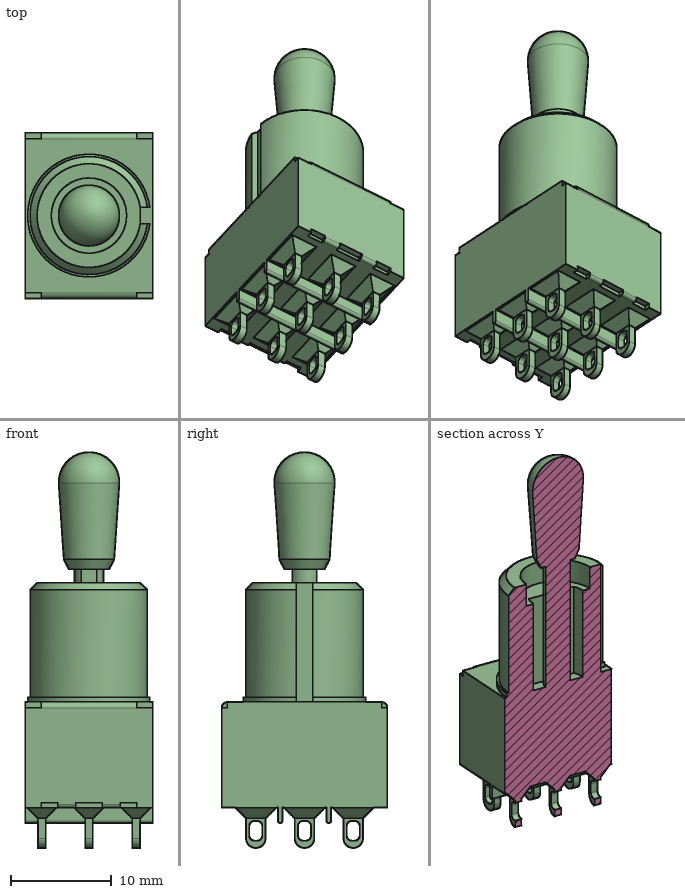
import cadquery as cq
import math


housing_x = 12.7
housing_y = 16.5
housing_bottom = 4.0
housing_top = 14.55
bracket_thickness = 0.6
bracket_width = 9.55
bracket_bottom = 4.5

clip_x = 2.2
clip_width = 1.77
clip_bend = 0.35

barrel_diameter = 11.75
barrel_top = 26.4
barrel_chamfer = 0.7
collar_diameter = 12.2
collar_height = 0.47
bore_diameter = 7.5
bore_depth = 2.35
keyway_width = 1.6
keyway_floor_x = 5.1

stem_diameter = 2.9
stem_flats = 2.45
lever_slot_length = 5.83
total_height = 39.4
knob_diameter = 6.05
knob_neck_diameter = 5.05
knob_base_diameter = 4.0
knob_base_z = 27.75
knob_neck_z = 28.7

pitch_x = 4.7
pitch_y = 4.85
terminal_thickness = 0.8
terminal_width = 1.95
eyelet_width = 1.25
eyelet_bottom = 0.75
eyelet_top = 2.68
eyelet_corner = 0.47
seal_height = 1.05
fin_thickness = 0.47
fin_bottom = 2.5


def block(size_x, size_y, bottom, top):
    """Box centred on the Z axis between two heights."""
    box = cq.Workplane("XY").box(size_x, size_y, top - bottom, centered=(True, True, False))
    return box.translate((0, 0, bottom))


def disc(diameter, bottom, top):
    """Cylinder on the Z axis between two heights."""
    return cq.Workplane("XY").workplane(offset=bottom).circle(diameter / 2).extrude(top - bottom)


def make_housing():
    plate_bottom = housing_top - bracket_thickness
    inner_y = housing_y - 2 * bracket_thickness

    case = block(housing_x, housing_y, housing_bottom, plate_bottom)
    top_plate = block(housing_x, inner_y, plate_bottom, housing_top)

    recess = block(bracket_width, housing_y, housing_bottom, bracket_bottom)
    recess = recess.cut(block(bracket_width, inner_y, housing_bottom, bracket_bottom))

    bracket = block(bracket_width, housing_y, bracket_bottom, housing_top)
    bracket = bracket.faces(">Z").edges("|X").fillet(bracket_thickness)

    clip = block(clip_width, housing_y, housing_bottom, bracket_bottom)
    clip = clip.faces("<Z").edges("|X").fillet(clip_bend)

    housing = case.union(top_plate).cut(recess).union(bracket)
    for side in (-1, 1):
        housing = housing.union(clip.translate((side * clip_x, 0, 0)))
    return housing


def make_bushing():
    collar = disc(collar_diameter, housing_top, housing_top + collar_height)
    barrel = disc(barrel_diameter, housing_top, barrel_top)
    barrel = barrel.faces(">Z").edges().chamfer(barrel_chamfer)
    bore_floor = barrel_top - bore_depth

    lever_slot = disc(lever_slot_length, housing_top, bore_floor)
    lever_slot = lever_slot.intersect(block(lever_slot_length, stem_flats, housing_top, bore_floor))

    keyway = block(collar_diameter, keyway_width, housing_top, barrel_top)
    keyway = keyway.translate((keyway_floor_x + collar_diameter / 2, 0, 0))

    bushing = collar.union(barrel).cut(disc(bore_diameter, bore_floor, barrel_top))
    return bushing.cut(lever_slot).cut(keyway)


def make_lever():
    stem = disc(stem_diameter, housing_top, knob_neck_z)
    stem = stem.intersect(block(stem_diameter, stem_flats, housing_top, knob_neck_z))

    knob_radius = knob_diameter / 2
    dome_z = total_height - knob_radius
    dome_middle = knob_radius * math.sin(math.radians(45))
    knob = (
        cq.Workplane("XZ")
        .moveTo(0, knob_base_z)
        .lineTo(knob_base_diameter / 2, knob_base_z)
        .lineTo(knob_neck_diameter / 2, knob_neck_z)
        .lineTo(knob_radius, dome_z)
        .threePointArc((dome_middle, dome_z + dome_middle), (0, total_height))
        .close()
        .revolve(360, (0, 0, 0), (0, 1, 0))
    )
    return stem.union(knob)


def rounded_blade(length_x, thickness_y, bottom):
    """Blade hanging from the housing, with a full round along its lower end."""
    tip_radius = thickness_y / 2
    tip_z = bottom + tip_radius
    web = block(length_x, thickness_y, tip_z, housing_bottom)
    tip = cq.Workplane("YZ").center(0, tip_z).circle(tip_radius).extrude(length_x / 2, both=True)
    return web.union(tip)


def make_terminal():
    seal_bottom = housing_bottom - seal_height
    blade = rounded_blade(terminal_thickness, terminal_width, 0)

    eyelet = block(terminal_thickness, eyelet_width, eyelet_bottom, eyelet_top)
    eyelet = eyelet.edges("|X").fillet(eyelet_corner)

    seal = (
        cq.Workplane("XY")
        .workplane(offset=seal_bottom)
        .rect(terminal_thickness, terminal_width)
        .workplane(offset=seal_height)
        .rect(terminal_thickness + 2 * seal_height, terminal_width + 2 * seal_height)
        .loft()
    )
    return blade.cut(eyelet).union(seal)


result = make_housing().union(make_bushing()).union(make_lever())

terminal = make_terminal()
for column in (-1, 0, 1):
    for row in (-1, 0, 1):
        result = result.union(terminal.translate((column * pitch_x, row * pitch_y, 0)))

fin = rounded_blade(housing_x, fin_thickness, fin_bottom)
for side in (-1, 1):
    result = result.union(fin.translate((0, side * pitch_y / 2, 0)))